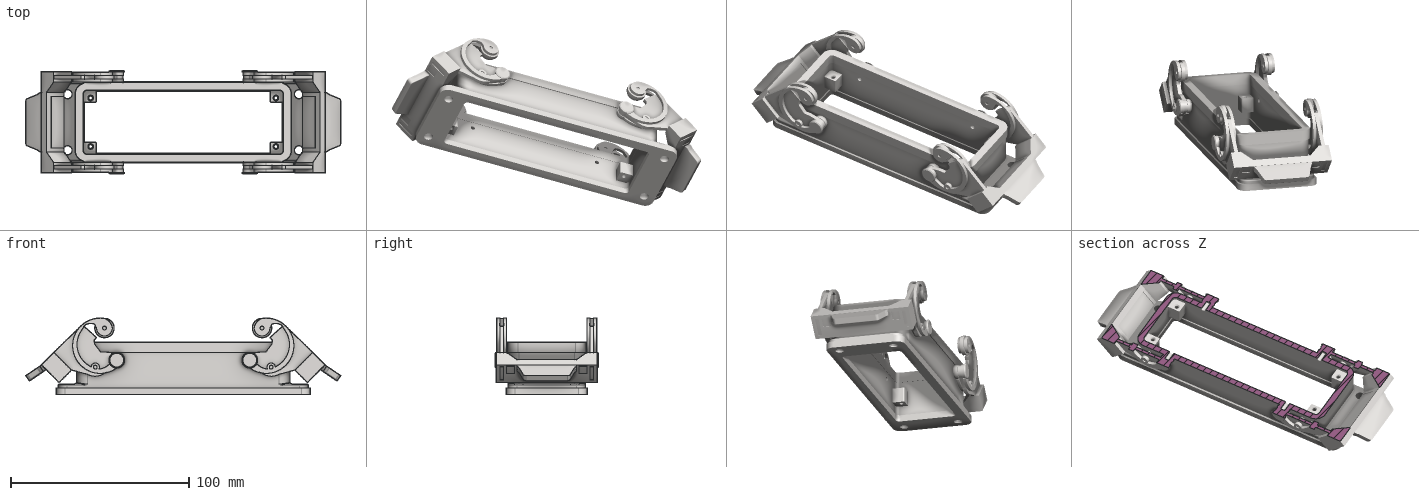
import cadquery as cq
import math

flange_length = 142.7
flange_width = 45.7
flange_height = 3.7
flange_corner = 5.0
plinth_length = 140.5
plinth_top = 5.8
plinth_edge_fillet = 0.7
wall_length = 120.0
wall_width = 43.5
wall_corner = 6.2
rim_overhang = 0.5
rim_bottom = 23.5
wall_top = 29.4
foot_size = 0.9

opening_length = 112.2
opening_width = 35.8
opening_corner = 2.1
opening_relief = 0.2
ledge_inset = 0.5

boss_length = 7.3
boss_width = 6.7
boss_corner = 0.7
boss_bottom = 9.2
boss_top = 17.5
boss_hole_x = 52.0
boss_hole_y = 13.6
boss_hole_radius = 1.0
boss_hole_chamfer = 0.5
boss_hole_angle = 90
fixing_hole_x = 65.0
fixing_hole_y = 15.8
fixing_hole_radius = 2.5

cam_inner_face = 22.5
plate_inner_face = 24.2
plate_outer_face = 26.4
cam_outer_face = 28.1
cam_x = -46.5
cam_radius = 15.5
cam_inner_radius = 13.1
cam_top = 43.0
cam_z = cam_top - cam_radius
roller_x = -44.2
roller_radius = 5.5
roller_z = 37.3
roller_cheek_radius = 4.5
rivet_x = -49.4
rivet_z = 15.4
rivet_lobe_radius = 2.3
rivet_recess_radius = 1.0
rivet_recess_depth = 0.5

peg_x = -37.3
peg_z = 19.3
peg_radius = 3.9
peg_neck_radius = 3.5
peg_head_radius = 4.5
peg_head_face = 29.0
peg_head_chamfer = 0.5
peg_bore_radius = 1.2
peg_bore_end = 23.9

head_x = -72.7
head_z = 23.7
head_length = 9.9
head_depth = 14.2
head_width = 57.0
head_pocket_depth = 5.8
head_pocket_mouth = 45.3
head_pocket_floor = 33.3
head_recess_depth = 0.4
center_recess_width = 29.0
center_recess_start = 3.9
slot_recess_start = 1.8
slot_recess_end = 12.0
square_recess_inner = 18.0
square_recess_outer = 22.7
square_recess_start = 1.2
square_recess_end = 7.0

tab_tip_x = -88.5
tab_tip_z = 10.6
tab_angle = math.radians(34)
tab_thickness = 3.7
tab_length = 13.3
tab_visible_length = 9.5
tab_tip_width = 25.8
tab_root_width = 31.2
tab_flare_width = 33.3
tab_flare_length = 1.8
tab_corner = 1.8
tab_edge_fillet = 0.5


def block(length, width, bottom, top, corner):
    """Upright rectangular block with rounded vertical edges, centred on Z."""
    blank = cq.Workplane("XY").workplane(offset=bottom).rect(length, width).extrude(top - bottom)
    return blank.edges("|Z").fillet(corner)


def side_plane(y):
    """Plane parallel to XZ at the given Y, extruding toward +Y."""
    return cq.Workplane(cq.Plane(origin=(0, y, 0), xDir=(-1, 0, 0), normal=(0, 1, 0)))


def disc(x, z, radius, y_start, y_end):
    """Cylinder along Y."""
    return side_plane(y_start).center(-x, z).circle(radius).extrude(y_end - y_start)


def plate(outline, y_start, y_end):
    """Plate along Y from an outline drawn in X and Z on the XZ workplane."""
    return outline.close().extrude(-(y_end - y_start)).translate((0, y_start, 0))


def on_cam(radius, degrees):
    """Point on a circle around the cam centre."""
    angle = math.radians(degrees)
    return (cam_x + radius * math.cos(angle), cam_z + radius * math.sin(angle))


def make_frame():
    """Flanged frame with its ledged opening, corner bosses and fixing holes."""
    flange = block(flange_length, flange_width, 0, flange_height, flange_corner)
    plinth = block(plinth_length, wall_width, 0, plinth_top, flange_corner)
    plinth = plinth.faces(">Z").edges().fillet(plinth_edge_fillet)
    wall = block(wall_length, wall_width, 0, rim_bottom, wall_corner)
    rim_length = wall_length + 2 * rim_overhang
    rim_width = wall_width + 2 * rim_overhang
    rim = block(rim_length, rim_width, rim_bottom, wall_top, wall_corner)

    foot = block(
        wall_length + 2 * foot_size, wall_width, flange_height, plinth_top + foot_size, wall_corner
    )
    foot = foot.faces(">Z").edges().chamfer(foot_size)
    frame = flange.union(plinth).union(wall).union(rim).union(foot)

    ledge = 2 * ledge_inset
    relief = 2 * opening_relief
    frame = frame.cut(
        block(opening_length - ledge, opening_width - ledge, 0, flange_height, opening_corner)
    )
    frame = frame.cut(
        block(opening_length + relief, opening_width + relief, flange_height, rim_bottom, opening_corner)
    )
    frame = frame.cut(block(opening_length, opening_width, rim_bottom, wall_top, opening_corner))

    for x_side in (-1, 1):
        for y_side in (-1, 1):
            frame = frame.union(make_boss(x_side, y_side))
    fixing_holes = (
        cq.Workplane("XY")
        .rect(2 * fixing_hole_x, 2 * fixing_hole_y, forConstruction=True)
        .vertices()
        .circle(fixing_hole_radius)
        .extrude(plinth_top)
    )
    return frame.cut(fixing_holes)


def make_boss(x_side, y_side):
    """Drilled corner boss, sunk slightly into the two walls it joins."""
    wall_overlap = 0.9
    length = boss_length + wall_overlap
    width = boss_width + wall_overlap
    center_x = opening_length / 2 - boss_length + length / 2
    center_y = opening_width / 2 - boss_width + width / 2
    boss = block(length, width, boss_bottom, boss_top, boss_corner)
    boss = boss.translate((x_side * center_x, y_side * center_y, 0))
    return (
        boss.faces(">Z")
        .workplane(origin=(x_side * boss_hole_x, y_side * boss_hole_y, boss_top))
        .cskHole(2 * boss_hole_radius, 2 * (boss_hole_radius + boss_hole_chamfer), boss_hole_angle)
    )


def make_cam_plate(y_start, y_end):
    """C-shaped cam that starts at the peg and hooks over to the roller."""
    peg_angle = -54
    cheek_diagonal = roller_cheek_radius * math.sqrt(0.5)
    top_angle = 90
    inner_arc_end = -93
    back_angle = 180
    outline = (
        cq.Workplane("XZ")
        .moveTo(*on_cam(cam_radius, peg_angle))
        .threePointArc(on_cam(cam_radius, back_angle), on_cam(cam_radius, top_angle))
        .threePointArc(
            (roller_x + cheek_diagonal, roller_z + cheek_diagonal),
            (roller_x + roller_cheek_radius, roller_z),
        )
        .threePointArc(
            (roller_x, roller_z - roller_cheek_radius),
            (roller_x - roller_cheek_radius, roller_z),
        )
        .lineTo(-49.9, 39.5)
        .threePointArc((-52.7, 39.8), (-55.4, 38.8))
        .lineTo(-58.0, 34.5)
        .threePointArc(on_cam(cam_inner_radius, back_angle), on_cam(cam_inner_radius, inner_arc_end))
        .threePointArc((-43.7, 15.4), (-40.9, 17.9))
    )
    cam = plate(outline, y_start, y_end)
    cam = cam.union(disc(rivet_x, rivet_z, rivet_lobe_radius, y_start, y_end))
    return cam.union(disc(peg_x, peg_z, peg_radius, y_start, y_end))


def make_middle_plate():
    """Plate from the lever head to the peg, between the two cam plates."""
    tail = head_depth * math.sqrt(0.5)
    overlap = 1.8
    tangent_angle = 135
    outline = (
        cq.Workplane("XZ")
        .moveTo(head_x - overlap, head_z - overlap)
        .lineTo(*on_cam(cam_radius, tangent_angle))
        .lineTo(-55.5, 38.2)
        .lineTo(-48.7, 32.0)
        .lineTo(-49.9, 30.6)
        .lineTo(-49.9, 28.5)
        .lineTo(-46.4, 23.9)
        .lineTo(-42.7, 23.9)
        .lineTo(peg_x, peg_z + peg_neck_radius)
        .lineTo(peg_x, peg_z - peg_neck_radius)
        .lineTo(-44.2, 12.0)
        .threePointArc((-49.0, 10.3), (-53.6, 11.3))
        .lineTo(head_x + tail, head_z - tail)
        .lineTo(head_x + tail - overlap, head_z - tail - overlap)
    )
    middle = plate(outline, plate_inner_face, plate_outer_face)
    return middle.union(disc(peg_x, peg_z, peg_neck_radius, plate_inner_face, plate_outer_face))


def make_arm():
    """Complete +Y arm with its roller and rivet recesses."""
    arm = make_middle_plate()
    arm = arm.union(make_cam_plate(cam_inner_face, plate_inner_face))
    arm = arm.union(make_cam_plate(plate_outer_face, cam_outer_face))
    arm = arm.union(disc(roller_x, roller_z, roller_radius, plate_inner_face, plate_outer_face))
    for x, z in ((roller_x, roller_z), (rivet_x, rivet_z)):
        for y in (cam_inner_face, cam_outer_face - rivet_recess_depth):
            arm = arm.cut(disc(x, z, rivet_recess_radius, y, y + rivet_recess_depth))
    return arm


def make_peg():
    """Peg from inside the +Y wall to its flat head outside the arm."""
    root = (wall_width + opening_width) / 4
    shank = disc(peg_x, peg_z, peg_neck_radius, root, cam_outer_face)
    head = disc(peg_x, peg_z, peg_head_radius, cam_outer_face, peg_head_face)
    return shank.union(head.faces(">Y").chamfer(peg_head_chamfer))


head_plane = cq.Plane(origin=(head_x, 0, head_z), xDir=(0, 1, 0), normal=(1, 0, -1))


def make_head_recess(y_start, y_end, start, end, top):
    """Shallow cutter on the head; start and end run down its depth, top is its front limit."""
    return (
        cq.Workplane(head_plane)
        .workplane(offset=start)
        .center((y_start + y_end) / 2, top - head_recess_depth / 2)
        .rect(abs(y_end - y_start), head_recess_depth)
        .extrude(end - start)
    )


def make_head():
    """Tilted bar, thinned between the arms by a trapezoidal pocket."""
    across = cq.Workplane(head_plane)
    bar = across.center(0, -head_length / 2).rect(head_width, head_length).extrude(head_depth)
    pocket = (
        across.moveTo(-head_pocket_mouth / 2, 0)
        .lineTo(head_pocket_mouth / 2, 0)
        .lineTo(head_pocket_floor / 2, -head_pocket_depth)
        .lineTo(-head_pocket_floor / 2, -head_pocket_depth)
        .close()
        .extrude(head_depth)
    )
    head = bar.cut(pocket)

    half_center = center_recess_width / 2
    recesses = [
        (-half_center, half_center, center_recess_start, head_depth, -head_pocket_depth),
    ]
    rear_top = head_recess_depth - head_length
    for side in (-1, 1):
        slot = (side * plate_inner_face, side * plate_outer_face)
        square = (side * square_recess_inner, side * square_recess_outer)
        recesses.append((*slot, slot_recess_start, slot_recess_end, rear_top))
        recesses.append((*square, square_recess_start, square_recess_end, rear_top))
    for recess in recesses:
        head = head.cut(make_head_recess(*recess))
    return head


def make_tab():
    """Flared finger tab running from its tip up into the lever head."""
    along = (math.cos(tab_angle), 0, math.sin(tab_angle))
    normal = (math.sin(tab_angle), 0, -math.cos(tab_angle))
    tab_plane = cq.Plane(origin=(tab_tip_x, 0, tab_tip_z), xDir=along, normal=normal)
    flare_start = tab_visible_length - tab_flare_length
    tab = (
        cq.Workplane(tab_plane)
        .moveTo(0, -tab_tip_width / 2)
        .lineTo(flare_start, -tab_root_width / 2)
        .lineTo(tab_visible_length, -tab_flare_width / 2)
        .lineTo(tab_length, -tab_flare_width / 2)
        .lineTo(tab_length, tab_flare_width / 2)
        .lineTo(tab_visible_length, tab_flare_width / 2)
        .lineTo(flare_start, tab_root_width / 2)
        .lineTo(0, tab_tip_width / 2)
        .close()
        .extrude(tab_thickness)
    )
    across_sheet = cq.selectors.ParallelDirSelector(cq.Vector(*normal))
    tip_corners = tab.faces("<X").edges(across_sheet)
    tab = tip_corners.fillet(tab_corner)
    lower_face = cq.selectors.DirectionMinMaxSelector(cq.Vector(*normal))
    return tab.faces(lower_face).edges().fillet(tab_edge_fillet)


def make_lever():
    """Lever at the -X end with both arms and pegs."""
    half = make_arm().union(make_peg())
    return make_head().union(make_tab()).union(half).union(half.mirror("XZ"))


lever = make_lever()
result = make_frame().union(lever).union(lever.mirror("YZ"))

for x_side in (-1, 1):
    for y_side in (-1, 1):
        bore = disc(x_side * peg_x, peg_z, peg_bore_radius, opening_width / 2, peg_bore_end)
        result = result.cut(bore if y_side > 0 else bore.mirror("XZ"))